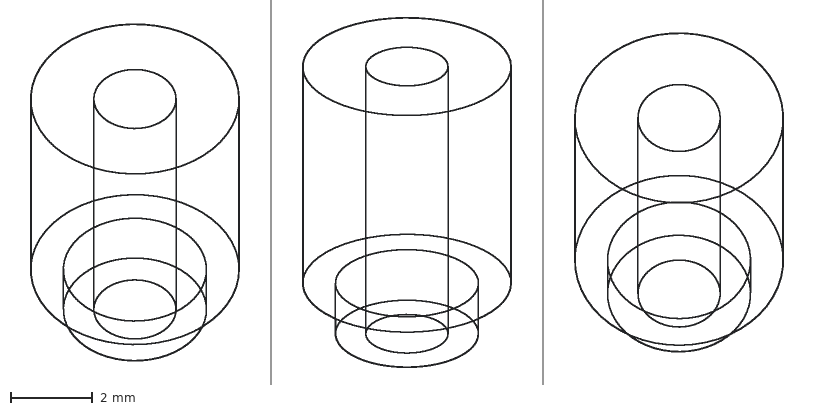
import cadquery as cq

body_diameter = 5.1
spigot_diameter = 3.5
bore_diameter = 2.01
total_height = 7.4
spigot_height = 1.4
body_height = total_height - spigot_height


def cylinder(diameter, height, base_z):
    """Upright cylinder centred on the Z axis, rising from base_z."""
    return cq.Workplane("XY").workplane(offset=base_z).circle(diameter / 2).extrude(height)


spigot = cylinder(spigot_diameter, spigot_height, 0)
body = cylinder(body_diameter, body_height, spigot_height)
bore = cylinder(bore_diameter, total_height, 0)

result = spigot.union(body).cut(bore)